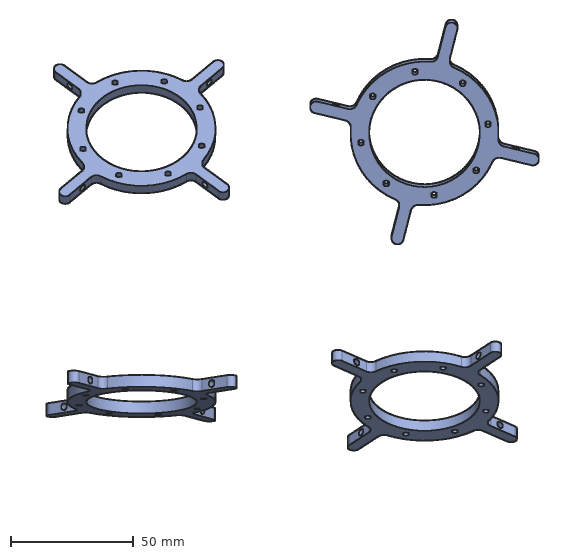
import cadquery as cq
import math

span = 89.1
thickness = 5.0
ring_outer_radius = 30.2
ring_inner_radius = 22.5
bolt_circle_radius = 26.2
bolt_hole_diameter = 2.4
bolt_count = 8
arm_count = 4
arm_start_angle = 67.5
arm_width = 5.0
root_fillet = 3.0
cross_hole_distance = 37.8
cross_hole_diameter = 2.85

tip_radius = arm_width / 2
tip_distance = (span / 2 - tip_radius) / math.sin(math.radians(arm_start_angle))
arm_angles = [arm_start_angle + i * 360 / arm_count for i in range(arm_count)]

root_distance = math.sqrt(ring_outer_radius**2 - tip_radius**2)
selection_margin = 0.45


def turn(shape, angle):
    """Rotate a shape about the part's axis."""
    return shape.rotate((0, 0, 0), (0, 0, 1), angle)


def bottom_plane():
    """Workplane on the underside; the part is centred on Z = 0."""
    return cq.Workplane("XY", origin=(0, 0, -thickness / 2))


def make_arm(angle):
    """Round-ended arm running outward from the part's axis."""
    outline = (
        bottom_plane()
        .moveTo(0, -tip_radius)
        .lineTo(tip_distance, -tip_radius)
        .threePointArc((tip_distance + tip_radius, 0), (tip_distance, tip_radius))
        .lineTo(0, tip_radius)
        .close()
    )
    return turn(outline.extrude(thickness), angle)


def make_cross_hole(angle):
    """Cutter for the hole passing sideways through an arm at mid-thickness."""
    cutter = (
        cq.Workplane("XZ", origin=(cross_hole_distance, arm_width, 0))
        .circle(cross_hole_diameter / 2)
        .extrude(2 * arm_width)
    )
    return turn(cutter, angle)


def fillet_arm_root(body, angle):
    """Round the two inside corners where an arm leaves the ring."""
    root_zone = cq.selectors.BoxSelector(
        (root_distance - selection_margin, -arm_width, -thickness),
        (root_distance + selection_margin, arm_width, thickness),
    )
    aligned = turn(body, -angle)
    filleted = aligned.edges("|Z").edges(root_zone).fillet(root_fillet)
    return turn(filleted, angle)


body = bottom_plane().circle(ring_outer_radius).extrude(thickness)
for arm_angle in arm_angles:
    body = body.union(make_arm(arm_angle))
for arm_angle in arm_angles:
    body = fillet_arm_root(body, arm_angle)

body = body.cut(bottom_plane().circle(ring_inner_radius).extrude(thickness))

bolt_holes = (
    bottom_plane()
    .polarArray(bolt_circle_radius, 0, 360, bolt_count)
    .circle(bolt_hole_diameter / 2)
    .extrude(thickness)
)
body = body.cut(bolt_holes)

for arm_angle in arm_angles:
    body = body.cut(make_cross_hole(arm_angle))

result = body